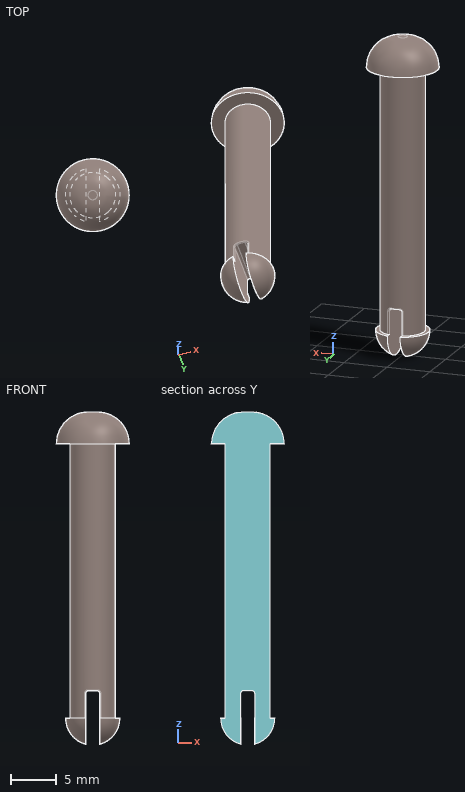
import cadquery as cq
import math

total_height = 36.4
shaft_diameter = 5.0
head_radius = 4
head_flat_radius = 0.5
tip_radius = 3.0
slot_width = 1.5
slot_depth_in_shaft = 3.0
slot_corner_radius = 0.3
slot_edge_fillet = 0.1

shoulder_z = math.sqrt(tip_radius**2 - (slot_width / 2) ** 2)
head_arc_radius = head_radius - head_flat_radius
head_base_z = total_height - head_arc_radius
shaft_radius = shaft_diameter / 2
slot_top_z = shoulder_z + slot_depth_in_shaft


def make_slot():
    """Slot through the part along Y, open at the bottom, with rounded top corners."""
    below_part = tip_radius
    height = slot_top_z + below_part
    return (
        cq.Workplane("XY")
        .box(slot_width, 2 * head_radius, height, centered=(True, True, False))
        .translate((0, 0, -below_part))
        .edges("|Y and >Z")
        .fillet(slot_corner_radius)
    )


def make_head():
    """Domed head with a small flat on top."""
    diagonal = head_arc_radius * math.sqrt(0.5)
    return (
        cq.Workplane("XZ")
        .moveTo(0, head_base_z)
        .lineTo(head_radius, head_base_z)
        .threePointArc(
            (head_flat_radius + diagonal, head_base_z + diagonal),
            (head_flat_radius, total_height),
        )
        .lineTo(0, total_height)
        .close()
        .revolve(360, (0, 0), (0, 1))
    )


def make_shaft():
    """Slotted shaft with rounded edges where the slot meets its outer surface."""
    shaft = (
        cq.Workplane("XY")
        .workplane(offset=shoulder_z)
        .circle(shaft_radius)
        .extrude(head_base_z - shoulder_z)
        .cut(make_slot())
    )
    slot_half = cq.selectors.BoxSelector(
        (-slot_width, -head_radius, shoulder_z + slot_edge_fillet),
        (slot_width, head_radius, slot_top_z + slot_edge_fillet),
    )
    outer_slot_edges = shaft.edges(slot_half).edges("not |Y")
    return outer_slot_edges.fillet(slot_edge_fillet)


def make_tip():
    """Hemispherical snap tip split by the slot."""
    return (
        cq.Workplane("XZ")
        .moveTo(0, shoulder_z)
        .lineTo(tip_radius, shoulder_z)
        .radiusArc((0, shoulder_z - tip_radius), tip_radius)
        .close()
        .revolve(360, (0, 0), (0, 1))
        .cut(make_slot())
    )


result = make_shaft().union(make_head()).union(make_tip())